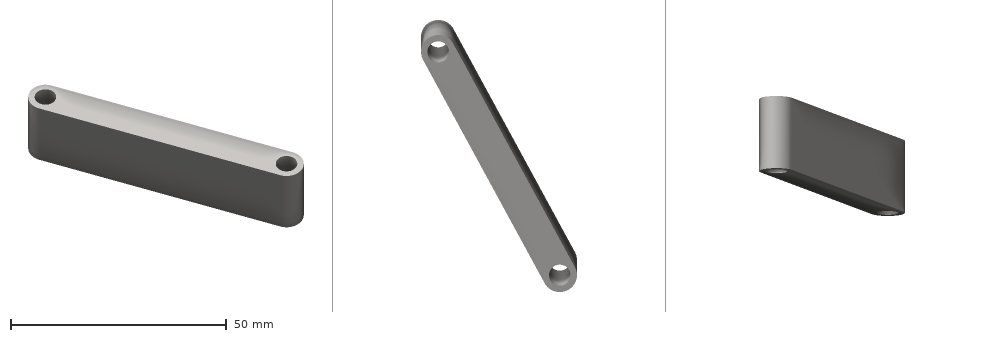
import cadquery as cq

length = 68.0
width = 8.0
height = 17.0
hole_diameter = 5.0

hole_spacing = length - width


def make_body():
    """Straight bar with full-round ends, standing on the XY plane."""
    return cq.Workplane("XY").slot2D(length, width).extrude(height)


def cut_end_holes(body):
    """Through hole on the axis of each rounded end."""
    hole_centres = [(side * hole_spacing / 2, 0) for side in (-1, 1)]
    return body.faces(">Z").workplane().pushPoints(hole_centres).hole(hole_diameter)


result = cut_end_holes(make_body())